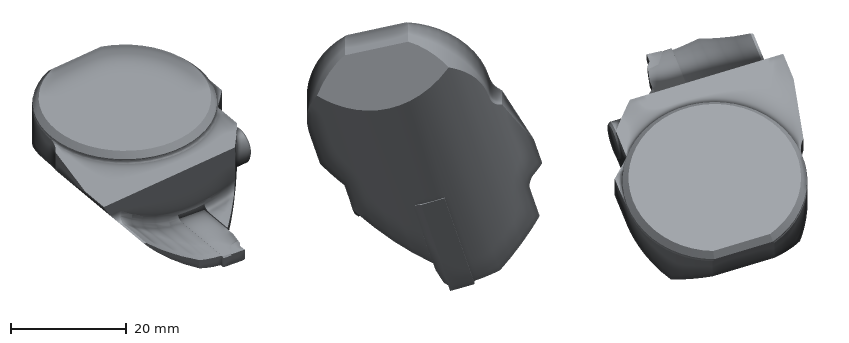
import cadquery as cq
import math


base_radius = 16.05
disc_radius = 15.95
disc_chamfer = 1.05
cove_radius = 0.5
flat_x = -15.0
base_top = -1.75
base_bottom = -14.05
underside_radius = 22.2
underside_axis_z = base_bottom + underside_radius
heel_top = -6.5

ear_x = 6.5
shoulder_y = 12.65
shoulder_x = 15.55
relief_mid = (22.3, 6.85)
relief_end_x = 27.65
wing_tip_y = -19.85
wing_tip_x = 15.3
wing_root = (3.35, -17.4)
wing_arc_radius = 4.8
wing_arc_angle = 45.0
blade_end_x = 33.55
blade_corner_y = -8.75
blade_corner_angle = 30.0

step_x = 20.75
step_fillet = 1.65
step_rim_z = -5.9
dish_half_width = 16.75
dish_radius = 26.15
dish_axis_z = step_rim_z + math.sqrt(dish_radius**2 - dish_half_width**2)

boss_x = 16.05
boss_z = -5.9
boss_radius = 3.5
boss_end_y = 12.95
boss_start_y = 5.9
boss_chamfer = 0.4

insert_back_x = 14.4
insert_end_x = 34.1
insert_tip_x = 34.35
insert_y_min = -4.05
insert_y_max = 1.65
insert_bottom = -14.3
insert_keel_y = 0.15
insert_low_edge_z = -13.85
insert_high_edge_z = -13.95
insert_top_z = -11.65
insert_top_slope = 0.1
insert_bevel = 0.25
slot_x = 20.88
tip_y = 0.37
tip_z = -11.9
tip_neck_x = 32.85
nose_start_x = 29.2
nose_shoulder = (32.2, 1.0)
ramp_back = (31.15, 1.05)
ramp_start = (31.8, -0.9)
ramp_end = (33.75, -2.25)
back_wall_top = (31.9, 1.0, -11.95)

reach = 49.35


def insert_top_at(y):
    """Height of the sloping top face of the insert."""
    return insert_top_z - insert_top_slope * (y - insert_y_min)


def make_blank():
    """Plan outline over the full height, cut off below by the curved underside."""
    half_angle = math.radians(wing_arc_angle / 2)
    arc_start = (0, -base_radius)
    arc_mid = (
        wing_arc_radius * math.sin(half_angle),
        -base_radius - wing_arc_radius * (1 - math.cos(half_angle)),
    )
    flat_half = math.sqrt(base_radius**2 - flat_x**2)
    side = base_radius * math.sin(math.pi / 4)
    corner_run = (blade_corner_y - wing_tip_y) * math.tan(math.radians(blade_corner_angle))
    prism = (
        cq.Workplane("XY")
        .moveTo(flat_x, flat_half)
        .threePointArc((-side, side), (0, base_radius))
        .lineTo(ear_x, base_radius)
        .lineTo(ear_x + base_radius - shoulder_y, shoulder_y)
        .lineTo(shoulder_x, shoulder_y)
        .threePointArc(relief_mid, (relief_end_x, insert_y_max))
        .lineTo(relief_end_x, insert_y_min)
        .lineTo(blade_end_x, insert_y_min)
        .lineTo(blade_end_x, blade_corner_y)
        .lineTo(blade_end_x - corner_run, wing_tip_y)
        .lineTo(wing_tip_x, wing_tip_y)
        .lineTo(*wing_root)
        .threePointArc(arc_mid, arc_start)
        .threePointArc((-side, -side), (flat_x, -flat_half))
        .close()
        .extrude(insert_bottom)
    )
    underside = (
        cq.Workplane("YZ")
        .workplane(offset=-reach)
        .center(0, underside_axis_z)
        .circle(underside_radius)
        .extrude(2 * reach)
    )
    return prism.intersect(underside)


def make_top_envelope():
    """Turned upper shape: chamfered disc, cove, then a wide level for the base top."""
    cove_sag = cove_radius * (1 - math.sqrt(0.5))
    return (
        cq.Workplane("XZ")
        .moveTo(0, insert_bottom)
        .lineTo(reach, insert_bottom)
        .lineTo(reach, base_top)
        .lineTo(disc_radius + cove_radius, base_top)
        .threePointArc(
            (disc_radius + cove_sag, base_top + cove_sag),
            (disc_radius, base_top + cove_radius),
        )
        .lineTo(disc_radius, -disc_chamfer)
        .lineTo(disc_radius - disc_chamfer, 0)
        .lineTo(0, 0)
        .close()
        .revolve(360, (0, 0, 0), (0, 1, 0))
    )


def make_flat_chamfer_cut():
    """Wedge that carries the disc chamfer along the back flat."""
    return (
        cq.Workplane("XZ")
        .moveTo(flat_x, -disc_chamfer)
        .lineTo(flat_x + disc_chamfer, 0)
        .lineTo(flat_x, 0)
        .close()
        .extrude(reach, both=True)
    )


def make_boss():
    """Round boss standing out of the relief side, axis along Y."""
    return (
        cq.Workplane("XZ", origin=(boss_x, boss_start_y, boss_z))
        .circle(boss_radius)
        .extrude(boss_start_y - boss_end_y)
        .faces(">Y")
        .chamfer(boss_chamfer)
    )


def make_heel_cut():
    """45 degree wedge below the back flat."""
    drop = heel_top - insert_bottom
    return (
        cq.Workplane("XZ")
        .moveTo(flat_x, heel_top)
        .lineTo(flat_x + drop, insert_bottom)
        .lineTo(flat_x, insert_bottom)
        .close()
        .extrude(reach, both=True)
    )


def make_step_cut():
    """Space above the blade: a shallow dish with flat rims and a filleted wall."""
    return (
        cq.Workplane("YZ")
        .workplane(offset=step_x)
        .moveTo(-reach, 0)
        .lineTo(-reach, step_rim_z)
        .lineTo(-dish_half_width, step_rim_z)
        .threePointArc((0, dish_axis_z - dish_radius), (dish_half_width, step_rim_z))
        .lineTo(reach, step_rim_z)
        .lineTo(reach, 0)
        .close()
        .extrude(reach)
        .faces("<X")
        .edges("not >Z")
        .edges("not |Z")
        .fillet(step_fillet)
    )


def make_slot_cut():
    """Slot through the blade that receives the insert."""
    return cq.Workplane("XY").box(
        reach, insert_y_max - insert_y_min, -insert_bottom, centered=False
    ).translate((slot_x, insert_y_min, insert_bottom))


def make_insert():
    """Slim bar with a sloping top, a shaped nose and a raised cutting tip."""
    bar = (
        cq.Workplane("YZ")
        .workplane(offset=insert_back_x)
        .polyline([
            (insert_y_min, insert_low_edge_z),
            (insert_y_min, insert_top_at(insert_y_min)),
            (insert_y_max, insert_top_at(insert_y_max)),
            (insert_y_max, insert_high_edge_z),
            (insert_keel_y, insert_bottom),
        ])
        .close()
        .extrude(insert_end_x - insert_back_x)
        .faces(">X")
        .edges(">Z")
        .chamfer(insert_bevel)
    )
    nose_outline = (
        cq.Workplane("XY")
        .workplane(offset=insert_bottom)
        .moveTo(insert_back_x, insert_y_min)
        .lineTo(insert_end_x, insert_y_min)
        .lineTo(insert_end_x, tip_y)
        .lineTo(tip_neck_x, tip_y)
        .lineTo(*nose_shoulder)
        .lineTo(nose_start_x, insert_y_max)
        .lineTo(insert_back_x, insert_y_max)
        .close()
        .extrude(-insert_bottom)
    )
    return bar.intersect(nose_outline).union(make_tip())


def make_space_above(low_start, low_end, high_point):
    """Block above the plane through three points, for cutting a sloping face."""
    along = low_end - low_start
    plane = cq.Plane(low_start, along, along.cross(high_point - low_start))
    return cq.Workplane(plane).rect(reach, reach).extrude(reach)


def make_tip():
    """Cutting tip whose rake face rises from the top of the bar to the corner."""
    back = cq.Vector(*ramp_back, insert_top_at(ramp_back[1]))
    start = cq.Vector(*ramp_start, insert_top_at(ramp_start[1]))
    end = cq.Vector(*ramp_end, insert_top_at(ramp_end[1]))
    corner = cq.Vector(insert_tip_x, tip_y, tip_z)
    block = (
        cq.Workplane("XY")
        .workplane(offset=insert_high_edge_z)
        .polyline([
            ramp_back,
            ramp_start,
            ramp_end,
            (insert_end_x, ramp_end[1]),
            (insert_tip_x, tip_y),
            (tip_neck_x, tip_y),
            nose_shoulder,
        ])
        .close()
        .extrude(-insert_high_edge_z)
    )
    return (
        block
        .cut(make_space_above(start, end, corner))
        .cut(make_space_above(back, start, cq.Vector(*back_wall_top)))
    )


insert = make_insert()

body = (
    make_blank()
    .intersect(make_top_envelope())
    .cut(make_flat_chamfer_cut())
    .cut(make_step_cut())
    .union(make_boss())
    .cut(make_heel_cut())
    .cut(make_slot_cut())
    .cut(insert)
)

result = cq.Compound.makeCompound([body.val(), insert.val()])